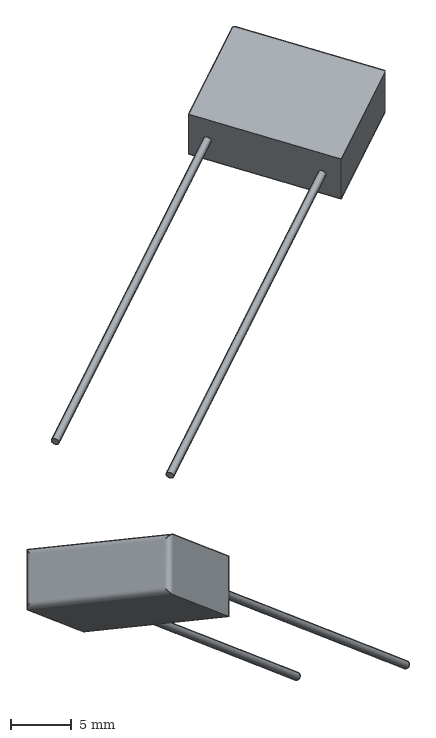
import cadquery as cq

overall_length = 45.5
case_width = 13.5
case_depth = 10.5
case_height = 5.1
case_edge_radius = 0.5

lead_diameter = 0.7
lead_spacing = 10.15
lead_length = overall_length - case_depth


def make_case():
    """Rectangular capacitor case with rounded edges around its rear (+Y) face."""
    case = cq.Workplane("XY").box(
        case_width, case_depth, case_height, centered=(True, False, True)
    )
    return case.faces(">Y").edges().fillet(case_edge_radius)


def make_lead(x_position):
    """Straight round wire lead, butted against the case front face."""
    front_face = cq.Workplane("XZ").center(x_position, 0)
    return front_face.circle(lead_diameter / 2).extrude(lead_length)


case = make_case()

leads = []
for side in (-1, 1):
    lead = make_lead(side * lead_spacing / 2)
    leads.append(lead.val())

result = cq.Compound.makeCompound([case.val(), *leads])